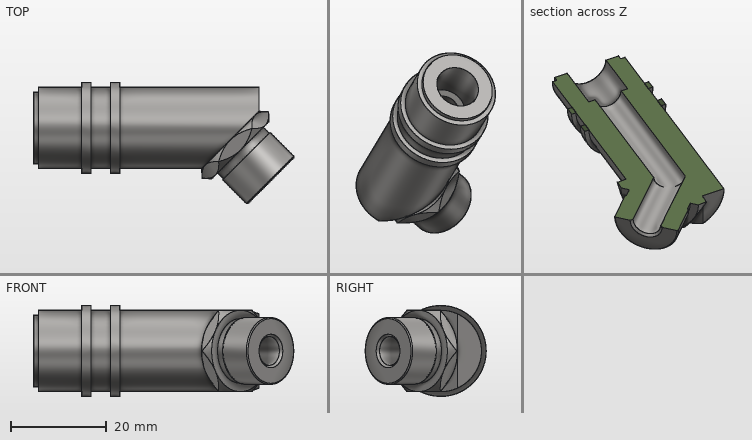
import cadquery as cq
import math

barrel_diameter = 17.0
barrel_length = 47.0
lip_diameter = 15.0
lip_length = 1.0

ring_diameter = 19.0
ring_width = 2.0
ring_starts = (10.0, 16.0)

outlet_angle = 45.0
seat_on_axis_x = 43.5
elbow_x = 38.5
outlet_length = 12.0

hex_sides = 6
hex_across_flats = 17.0
hex_thickness = 3.0
neck_diameter = 13.5
neck_length = 1.75
spigot_diameter = 14.0
spigot_chamfer = 0.25

inlet_diameter = 9.0
inlet_depth = 10.0
bore_diameter = 6.0
bore_mouth_chamfer = 0.5

angle = math.radians(outlet_angle)
outlet_direction = cq.Vector(math.cos(angle), -math.sin(angle), 0)
elbow = cq.Vector(elbow_x, 0, 0)
elbow_to_seat = (seat_on_axis_x - elbow_x) * math.cos(angle)
seat_center = elbow + outlet_direction * elbow_to_seat
outlet_end = seat_center + outlet_direction * outlet_length
hex_corner_radius = hex_across_flats / 2 / math.cos(math.pi / hex_sides)


def outlet_plane(distance):
    """Plane square to the outlet axis, at a distance from the seat; local Y is +Z."""
    origin = seat_center + outlet_direction * distance
    local_x = cq.Vector(0, 0, 1).cross(outlet_direction)
    return cq.Workplane(cq.Plane(origin=origin, xDir=local_x, normal=outlet_direction))


def make_barrel():
    lip = cq.Workplane("YZ").circle(lip_diameter / 2).extrude(lip_length)
    tube = (
        cq.Workplane("YZ", origin=(lip_length, 0, 0))
        .circle(barrel_diameter / 2)
        .extrude(barrel_length - lip_length)
    )
    beyond_seat = outlet_plane(0).rect(2 * barrel_length, 2 * barrel_length).extrude(barrel_length)
    return lip.union(tube).cut(beyond_seat)


def make_hexagon():
    """Hexagon with two flats facing +Z and -Z, coned on both sides so the cones meet at the corners."""
    prism = outlet_plane(0).polygon(hex_sides, 2 * hex_corner_radius).extrude(hex_thickness)
    half_thickness = hex_thickness / 2
    face_radius = hex_across_flats / 2
    double_cone = (
        outlet_plane(0)
        .circle(face_radius)
        .workplane(offset=half_thickness)
        .circle(hex_corner_radius)
        .loft(ruled=True)
        .union(
            outlet_plane(half_thickness)
            .circle(hex_corner_radius)
            .workplane(offset=half_thickness)
            .circle(face_radius)
            .loft(ruled=True)
        )
    )
    return prism.intersect(double_cone)


def make_spigot():
    spigot_start = hex_thickness + neck_length
    neck = outlet_plane(hex_thickness).circle(neck_diameter / 2).extrude(neck_length)
    spigot = (
        outlet_plane(spigot_start)
        .circle(spigot_diameter / 2)
        .extrude(outlet_length - spigot_start)
        .faces(cq.DirectionMinMaxSelector(outlet_direction))
        .chamfer(spigot_chamfer)
    )
    return neck.union(spigot)


def make_passage():
    """Wide inlet, then a narrower bore that turns at the elbow and opens with a chamfered mouth."""
    inlet = cq.Workplane("YZ").circle(inlet_diameter / 2).extrude(inlet_depth)
    bore_path = cq.Workplane("XY").polyline([(0, 0), (elbow.x, elbow.y), (outlet_end.x, outlet_end.y)])
    bore = cq.Workplane("YZ").circle(bore_diameter / 2).sweep(bore_path, transition="right")
    mouth = (
        outlet_plane(outlet_length)
        .circle(bore_diameter / 2 + bore_mouth_chamfer)
        .workplane(offset=-bore_mouth_chamfer)
        .circle(bore_diameter / 2)
        .loft(ruled=True)
    )
    return inlet.union(bore).union(mouth)


def make_housing():
    solid = make_barrel().union(make_hexagon()).union(make_spigot())
    return solid.cut(make_passage())


def make_ring(start_x):
    return (
        cq.Workplane("YZ", origin=(start_x, 0, 0))
        .circle(ring_diameter / 2)
        .circle(barrel_diameter / 2)
        .extrude(ring_width)
    )


housing = make_housing()
rings = [make_ring(start_x) for start_x in ring_starts]

result = cq.Compound.makeCompound([housing.val(), *[ring.val() for ring in rings]])